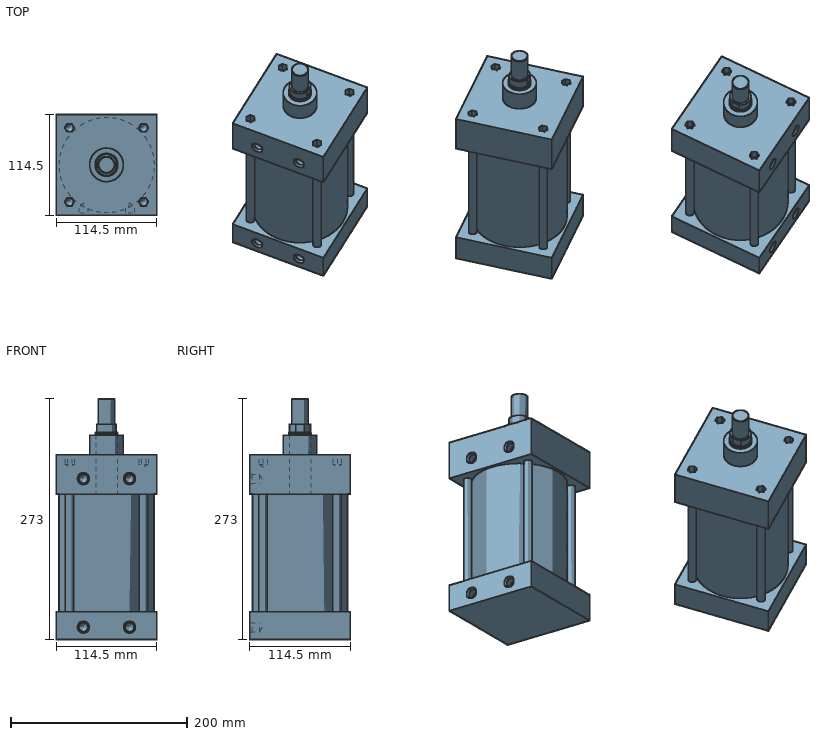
import cadquery as cq
import math

TOTAL_HEIGHT = 273.0
BASE_THICKNESS = 32.0
TUBE_LENGTH = 133.2
HEAD_THICKNESS = 44.8
BOSS_HEIGHT = 22.0
HEAD_BOTTOM = BASE_THICKNESS + TUBE_LENGTH
HEAD_TOP = HEAD_BOTTOM + HEAD_THICKNESS
BOSS_TOP = HEAD_TOP + BOSS_HEIGHT

BLOCK_WIDTH = 114.5
TUBE_DIAMETER = 108.0

FLANGE_DIAMETER = 70.0
FLANGE_THICKNESS = 8.2
BOSS_DIAMETER = 38.2
LIP_DIAMETER = 26.0
LIP_BAND_HEIGHT = 1.6
LIP_CONE_HEIGHT = 1.6
LIP_TOP = BOSS_TOP + LIP_BAND_HEIGHT + LIP_CONE_HEIGHT

TIE_ROD_SPACING = 84.0
TIE_ROD_DIAMETER = 9.5
TIE_HEAD_DIAMETER = 17.5
TIE_HEAD_HEIGHT = 16.5
SOCKET_ACROSS_FLATS = 9.3
SOCKET_DEPTH = 11.0

PORT_SPACING = 52.5
PORT_DIAMETER = 10.0
PORT_DEPTH = 11.0
PORT_MOUTH_DIAMETER = 13.5
PORT_MOUTH_DEPTH = 2.7
BASE_PORT_HEIGHT = 14.2
HEAD_PORT_HEIGHT = 182.7
DRILL_POINT_ANGLE = 118.0

ROD_DIAMETER = 24.0
ROD_FLAT_WIDTH = 22.0
ROD_END_DIAMETER = 18.8
ROD_END_LENGTH = 28.5
ROD_END_CHAMFER = 0.5
SHOULDER_Z = TOTAL_HEIGHT - ROD_END_LENGTH


def cylinder(diameter, bottom, top):
    """Upright cylinder on the Z axis."""
    return cq.Workplane("XY").workplane(offset=bottom).circle(diameter / 2).extrude(top - bottom)


def block(bottom, thickness):
    """Square end block centred on the Z axis."""
    return cq.Workplane("XY").workplane(offset=bottom).rect(BLOCK_WIDTH, BLOCK_WIDTH).extrude(thickness)


def drill_point_depth(diameter):
    """Depth of the conical end left by a drill."""
    return diameter / 2 / math.tan(math.radians(DRILL_POINT_ANGLE / 2))


def port_cutter():
    """Cutter for a port with a tapered mouth and a drill point, running from the origin along +Y."""
    radius = PORT_DIAMETER / 2
    profile = [
        (0, 0),
        (PORT_MOUTH_DIAMETER / 2, 0),
        (radius, PORT_MOUTH_DEPTH),
        (radius, PORT_DEPTH),
        (0, PORT_DEPTH + drill_point_depth(PORT_DIAMETER)),
    ]
    return cq.Workplane("XY").polyline(profile).close().revolve(360, (0, 0), (0, 1))


def socket_cutter():
    """Cutter for a hexagon socket with two corners on the X axis and a drill point at its bottom."""
    corner_diameter = SOCKET_ACROSS_FLATS / math.cos(math.pi / 6)
    floor = HEAD_TOP - SOCKET_DEPTH
    hexagon = cq.Workplane("XY").workplane(offset=floor).polygon(6, corner_diameter).extrude(SOCKET_DEPTH)
    profile = [
        (0, HEAD_TOP),
        (SOCKET_ACROSS_FLATS / 2, HEAD_TOP),
        (SOCKET_ACROSS_FLATS / 2, floor),
        (0, floor - drill_point_depth(SOCKET_ACROSS_FLATS)),
    ]
    drilling = cq.Workplane("XZ").polyline(profile).close().revolve(360, (0, 0), (0, 1))
    return hexagon.union(drilling)


def make_retainer():
    """Flange, boss and conical wiper lip; the rod bore is cut later."""
    flange_bottom = HEAD_TOP - FLANGE_THICKNESS
    profile = [
        (0, flange_bottom),
        (FLANGE_DIAMETER / 2, flange_bottom),
        (FLANGE_DIAMETER / 2, HEAD_TOP),
        (BOSS_DIAMETER / 2, HEAD_TOP),
        (BOSS_DIAMETER / 2, BOSS_TOP),
        (LIP_DIAMETER / 2, BOSS_TOP),
        (LIP_DIAMETER / 2, BOSS_TOP + LIP_BAND_HEIGHT),
        (ROD_DIAMETER / 2, LIP_TOP),
        (0, LIP_TOP),
    ]
    return cq.Workplane("XZ").polyline(profile).close().revolve(360, (0, 0), (0, 1))


def make_tie_rod():
    """Tie rod on the Z axis, with a socket head level with the top of the head block."""
    head_bottom = HEAD_TOP - TIE_HEAD_HEIGHT
    shank = cylinder(TIE_ROD_DIAMETER, BASE_THICKNESS, head_bottom)
    head = cylinder(TIE_HEAD_DIAMETER, head_bottom, HEAD_TOP)
    return shank.union(head).cut(socket_cutter())


def make_housing():
    """End blocks, tube, retainer and tie rods as one solid, bored for the piston rod."""
    head = block(HEAD_BOTTOM, HEAD_THICKNESS)
    head = head.cut(cylinder(FLANGE_DIAMETER, HEAD_TOP - FLANGE_THICKNESS, HEAD_TOP))
    tie_half = TIE_ROD_SPACING / 2
    tie_places = [(x, y, 0) for x in (-tie_half, tie_half) for y in (-tie_half, tie_half)]
    for place in tie_places:
        head = head.cut(cylinder(TIE_HEAD_DIAMETER, HEAD_TOP - TIE_HEAD_HEIGHT, HEAD_TOP).translate(place))

    body = block(0, BASE_THICKNESS)
    body = body.union(cylinder(TUBE_DIAMETER, BASE_THICKNESS, HEAD_BOTTOM))
    body = body.union(head)

    body = body.union(make_retainer(), clean=False)
    for place in tie_places:
        body = body.union(make_tie_rod().translate(place), clean=False)

    port = port_cutter()
    for x in (-PORT_SPACING / 2, PORT_SPACING / 2):
        for z in (BASE_PORT_HEIGHT, HEAD_PORT_HEIGHT):
            body = body.cut(port.translate((x, -BLOCK_WIDTH / 2, z)), clean=False)

    return body.cut(cylinder(ROD_DIAMETER, HEAD_BOTTOM, LIP_TOP), clean=False)


def make_piston_rod():
    """Round rod with two wrench flats below the shoulder and a reduced, chamfered end."""
    rod = cylinder(ROD_DIAMETER, HEAD_BOTTOM, SHOULDER_Z)
    flat_zone = cylinder(ROD_DIAMETER, LIP_TOP, SHOULDER_Z)
    kept_slab = (
        cq.Workplane("XY").workplane(offset=LIP_TOP)
        .rect(ROD_FLAT_WIDTH, ROD_DIAMETER).extrude(SHOULDER_Z - LIP_TOP)
    )
    rod = rod.cut(flat_zone.cut(kept_slab))
    rod_end = cylinder(ROD_END_DIAMETER, SHOULDER_Z, TOTAL_HEIGHT).faces(">Z").chamfer(ROD_END_CHAMFER)
    return rod.union(rod_end)


housing = make_housing()
piston_rod = make_piston_rod()

result = cq.Compound.makeCompound([housing.val(), piston_rod.val()])